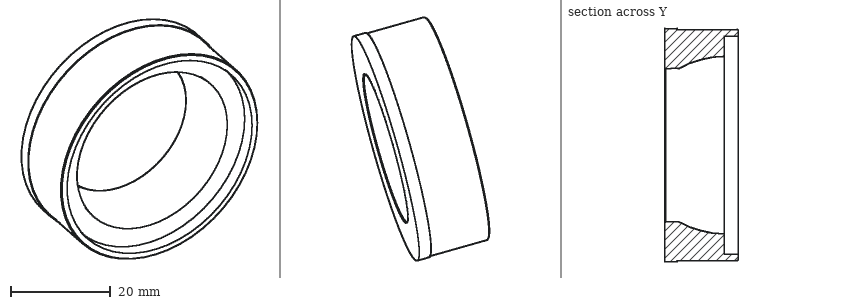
import cadquery as cq
import math

length = 14.8
flange_radius = 46.75 / 2
flange_length = 2.5
body_radius = 46.4 / 2
body_chamfer = 0.2

land_radius = 30.6 / 2
land_chamfer = 0.2
land_fillet = 0.5

seat_radius = 17.7
seat_center = 11.8
rim_length = 0.2

counterbore_radius = 21.8

land_end = seat_center - math.sqrt(seat_radius**2 - land_radius**2)
counterbore_floor = seat_center + rim_length


def make_shell():
    """Solid disc with a slightly larger flange at the -X end and a chamfered +X end."""
    flange = cq.Workplane("YZ").circle(flange_radius).extrude(flange_length)
    body = cq.Workplane("YZ").circle(body_radius).extrude(length)
    body = body.faces(">X").edges().chamfer(body_chamfer)
    return flange.union(body)


def make_bore():
    """Stepped core removed from the disc, revolved about the X axis."""
    equator_angle = math.pi / 2
    land_angle = math.pi - math.asin(land_radius / seat_radius)
    mid_angle = (equator_angle + land_angle) / 2
    seat_middle = (
        seat_center + seat_radius * math.cos(mid_angle),
        seat_radius * math.sin(mid_angle),
    )
    profile = (
        cq.Workplane("XY")
        .lineTo(0, land_radius + land_chamfer)
        .lineTo(land_chamfer, land_radius)
        .lineTo(land_end, land_radius)
        .threePointArc(seat_middle, (seat_center, seat_radius))
        .lineTo(counterbore_floor, seat_radius)
        .lineTo(counterbore_floor, counterbore_radius)
        .lineTo(length, counterbore_radius)
        .lineTo(length, 0)
        .close()
    )
    return profile.revolve(360, (0, 0, 0), (1, 0, 0))


def round_land_edge(ring):
    """Round the corner between the land and the seat, a circle centred on the X axis."""
    reach = land_fillet / 2
    land_corner = cq.selectors.BoxSelector(
        (land_end - reach, -reach, -reach),
        (land_end + reach, reach, reach),
    )
    return ring.edges(land_corner).fillet(land_fillet)


result = round_land_edge(make_shell().cut(make_bore()))